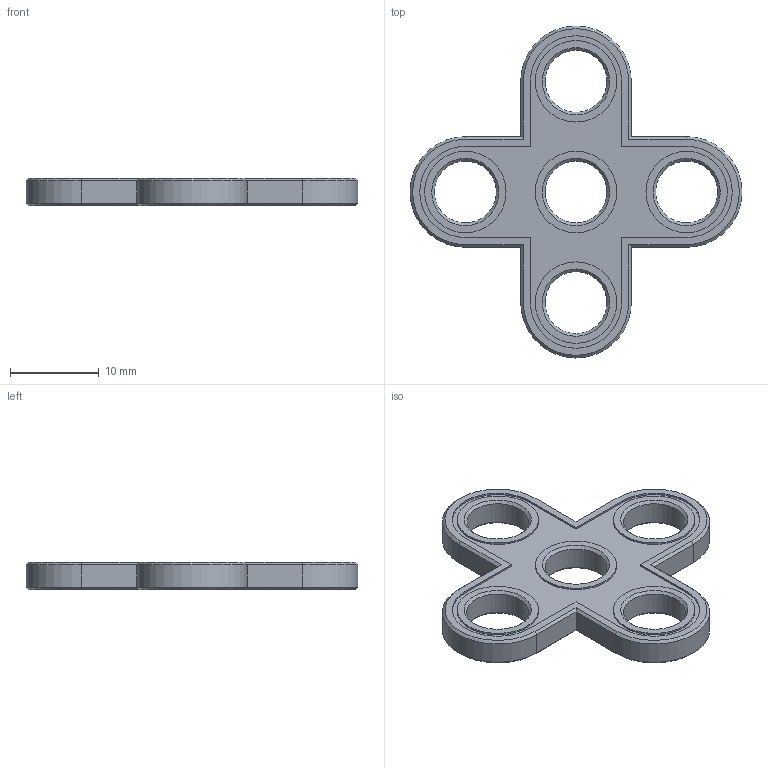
import cadquery as cq

pitch = 12.5
thickness = pitch / 4
arm_width = pitch
hole_diameter = 7.0
collar_diameter = 9.2
edge_chamfer = 0.3
rim_land = 0.8
recess_depth = 0.2

rim_width = edge_chamfer + rim_land
hole_centers = [(0, 0), (pitch, 0), (-pitch, 0), (0, pitch), (0, -pitch)]


def cross_prism(width, height, bottom_z):
    """Cross of two full-round bars whose end arcs are centred on the outer holes."""
    bar_length = 2 * pitch + width
    plane = cq.Workplane("XY").workplane(offset=bottom_z)
    bar_x = plane.slot2D(bar_length, width, 0).extrude(height)
    bar_y = plane.slot2D(bar_length, width, 90).extrude(height)
    return bar_x.union(bar_y)


def chamfered_plate():
    """Solid cross with its top and bottom outer edges chamfered."""
    plate = cross_prism(arm_width, thickness, 0)
    return plate.faces("<Z or >Z").edges().chamfer(edge_chamfer)


def top_recess():
    """Shallow pocket inside the border, leaving a collar around every hole."""
    floor_z = thickness - recess_depth
    pocket = cross_prism(arm_width - 2 * rim_width, recess_depth, floor_z)
    collars = (
        cq.Workplane("XY")
        .workplane(offset=floor_z)
        .pushPoints(hole_centers)
        .circle(collar_diameter / 2)
        .extrude(recess_depth)
    )
    return pocket.cut(collars)


def chamfered_hole(x, y):
    """Cutter for one through hole, flared at both ends."""
    radius = hole_diameter / 2
    flared_radius = radius + edge_chamfer
    profile = [
        (0, 0),
        (flared_radius, 0),
        (radius, edge_chamfer),
        (radius, thickness - edge_chamfer),
        (flared_radius, thickness),
        (0, thickness),
    ]
    cutter = cq.Workplane("XZ").polyline(profile).close().revolve(360, (0, 0), (0, 1))
    return cutter.translate((x, y, 0))


result = chamfered_plate().cut(top_recess())
for hole_x, hole_y in hole_centers:
    result = result.cut(chamfered_hole(hole_x, hole_y))